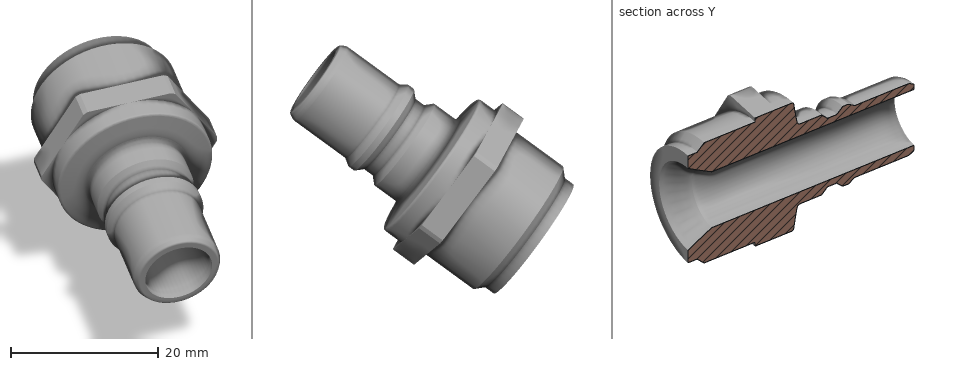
import cadquery as cq
import math

length = 37.0

spigot_dia = 18.4
body_dia = 20.7
hex_flats = 22.0
hex_corners = 25.0
collar_dia = hex_flats
neck_dia = 13.75
groove_dia = 11.85
nose_dia = 12.4
bore_dia = 9.5
seat_dia = 14.0

spigot_end = 1.48
hex_start = 10.95
hex_end = 14.5
collar_edge = 17.28
shoulder_root = 17.95
groove_start = 21.85
groove_width = 3.45
rib_width = 0.92
rib_taper = 1.07

collar_round = 0.37
root_round = 0.55
nose_round = 1.05
nose_chamfer_length = 0.85
nose_chamfer_depth = 0.48
tip_round = 0.3
nose_tip_dia = nose_dia - 2 * nose_chamfer_depth
seat_half_angle = 30.0


def turned_body():
    """Revolve the outer profile about X, spigot end at X = 0."""
    lead_in = (body_dia - spigot_dia) / 2
    groove_depth = (neck_dia - groove_dia) / 2
    groove_end = groove_start + groove_width
    rib_end = groove_end + rib_width
    steps = [
        (0, 0),
        (0, spigot_dia),
        (spigot_end, spigot_dia),
        (spigot_end + lead_in, body_dia),
        (hex_start, body_dia),
        (hex_start, collar_dia),
        (collar_edge, collar_dia),
        (shoulder_root, neck_dia),
        (groove_start, neck_dia),
        (groove_start + groove_depth, groove_dia),
        (groove_end - groove_depth, groove_dia),
        (groove_end, neck_dia),
        (rib_end, neck_dia),
        (rib_end + rib_taper, nose_dia),
        (length - nose_chamfer_length, nose_dia),
        (length, nose_tip_dia),
        (length, 0),
    ]
    profile = cq.Workplane("XY").polyline([(x, dia / 2) for x, dia in steps]).close()
    return profile.revolve(360, (0, 0, 0), (1, 0, 0))


def round_circle(body, station, diameter, radius):
    """Round the circular edge of the given diameter at one station along X."""
    tolerance = 0.005
    reach = diameter / 2 + tolerance
    box = cq.selectors.BoxSelector(
        (station - tolerance, -reach, -reach),
        (station + tolerance, reach, reach),
        boundingbox=True,
    )
    return body.edges(box).edges("%CIRCLE").fillet(radius)


def hexagon():
    """Hexagon with flats facing +Z and -Z and its corners turned down."""
    sharp_corners = hex_flats / math.cos(math.radians(30))
    plane = cq.Workplane("YZ", origin=(hex_start, 0, 0))
    prism = plane.polygon(6, sharp_corners).extrude(hex_end - hex_start)
    blank = plane.circle(hex_corners / 2).extrude(hex_end - hex_start)
    return prism.intersect(blank)


def bore():
    """Through bore opening into a conical seat at the spigot end."""
    seat_depth = (seat_dia - bore_dia) / 2 / math.tan(math.radians(seat_half_angle))
    profile = cq.Workplane("XY").polyline([
        (0, 0),
        (0, seat_dia / 2),
        (seat_depth, bore_dia / 2),
        (length, bore_dia / 2),
        (length, 0),
    ]).close()
    return profile.revolve(360, (0, 0, 0), (1, 0, 0))


body = turned_body()
body = round_circle(body, collar_edge, collar_dia, collar_round)
body = round_circle(body, shoulder_root, neck_dia, root_round)
body = round_circle(body, length - nose_chamfer_length, nose_dia, nose_round)
body = round_circle(body, length, nose_tip_dia, tip_round)

result = body.union(hexagon()).cut(bore()).translate((-length / 2, 0, 0))